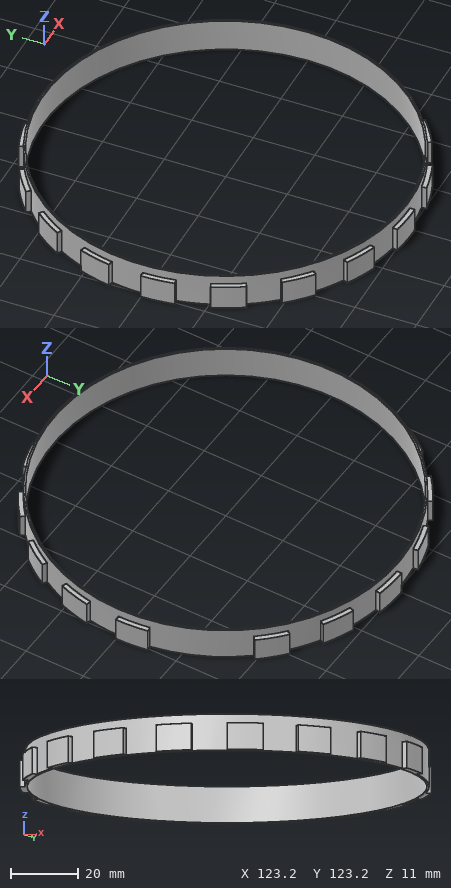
import cadquery as cq

ring_radius = 60.0
ring_wall = 0.6
ring_height = 11.0

pad_radius = 61.6
pad_height = 8.0
pad_positions = 18
pad_pitch = 360 / pad_positions
pad_span = pad_pitch / 2
empty_position = 1

inner_radius = ring_radius - ring_wall
pad_root_radius = ring_radius - ring_wall / 2


def make_ring():
    return cq.Workplane("XY").circle(ring_radius).circle(inner_radius).extrude(ring_height)


def make_pad(start_angle):
    """Curved pad with radial ends, starting at the given angle from +X."""
    section = (
        cq.Workplane("XZ")
        .moveTo(pad_root_radius, 0)
        .lineTo(pad_radius, 0)
        .lineTo(pad_radius, pad_height)
        .lineTo(pad_root_radius, pad_height)
        .close()
    )
    pad = section.revolve(pad_span, (0, 0, 0), (0, 1, 0))
    return pad.rotate((0, 0, 0), (0, 0, 1), start_angle)


result = make_ring()
for position in range(pad_positions):
    if position != empty_position:
        result = result.union(make_pad(position * pad_pitch))